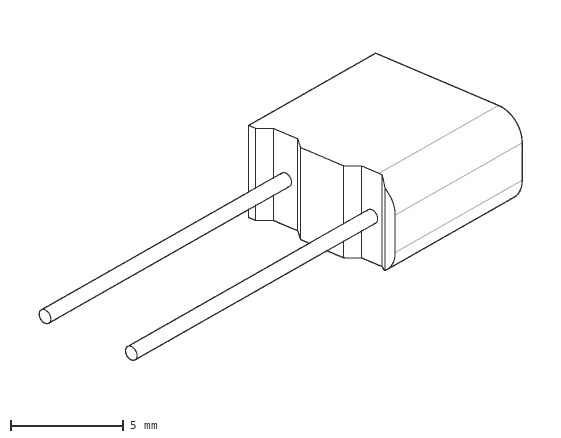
import cadquery as cq

TOTAL_LENGTH = 24.52
CASE_WIDTH = 8.63
CASE_LENGTH = 8.65
CASE_HEIGHT = 4.7
CORNER_RADIUS = 1.4

LEAD_DIAMETER = 0.69
LEAD_PITCH = 5.08
FIRST_LEAD_X = 1.75

NOTCH_DEPTH = 0.51
NOTCH_SLOPE_RUN = 0.61
FIRST_NOTCH_FLOOR = 1.42
SECOND_NOTCH_FLOOR = 1.2

LEAD_LENGTH = TOTAL_LENGTH - CASE_LENGTH + NOTCH_DEPTH
FIRST_LEAD_CENTRE = FIRST_LEAD_X - CASE_WIDTH / 2
LEAD_CENTRES = [FIRST_LEAD_CENTRE, FIRST_LEAD_CENTRE + LEAD_PITCH]
NOTCH_FLOORS = [FIRST_NOTCH_FLOOR, SECOND_NOTCH_FLOOR]


def make_notch(centre_x, floor_width):
    """Trapezoidal channel through the full height, opening toward -Y."""
    half_floor = floor_width / 2
    half_mouth = half_floor + NOTCH_SLOPE_RUN
    return (
        cq.Workplane("XY")
        .moveTo(centre_x - half_mouth, 0)
        .lineTo(centre_x - half_floor, NOTCH_DEPTH)
        .lineTo(centre_x + half_floor, NOTCH_DEPTH)
        .lineTo(centre_x + half_mouth, 0)
        .close()
        .extrude(CASE_HEIGHT / 2, both=True)
    )


def make_case():
    """Box with a rounded +X side and one standoff notch per lead."""
    case = (
        cq.Workplane("XY")
        .box(CASE_WIDTH, CASE_LENGTH, CASE_HEIGHT)
        .translate((0, CASE_LENGTH / 2, 0))
        .edges("|Y and >X")
        .fillet(CORNER_RADIUS)
    )
    for centre_x, floor_width in zip(LEAD_CENTRES, NOTCH_FLOORS):
        case = case.cut(make_notch(centre_x, floor_width))
    return case


def make_lead(centre_x):
    """Straight round wire running toward -Y from the floor of its notch."""
    return (
        cq.Workplane("XZ", origin=(centre_x, NOTCH_DEPTH, 0))
        .circle(LEAD_DIAMETER / 2)
        .extrude(LEAD_LENGTH)
    )


case = make_case()
leads = [make_lead(centre_x).val() for centre_x in LEAD_CENTRES]

result = cq.Compound.makeCompound([case.val(), *leads])